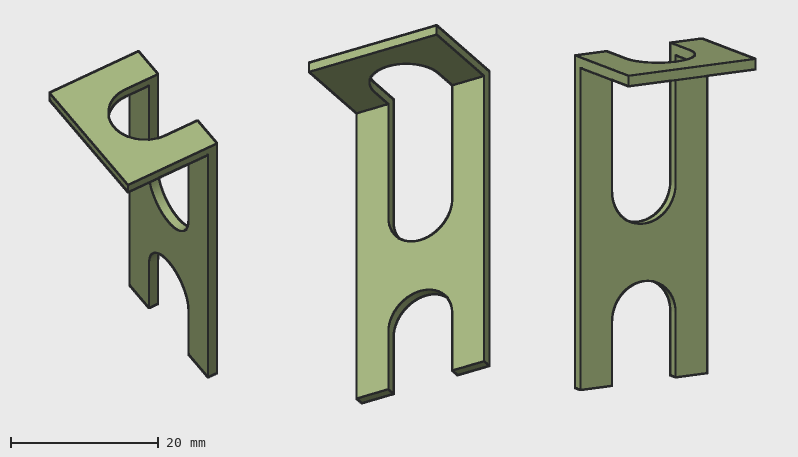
import cadquery as cq

width = 20.0
depth = 14.3
height = 46.3
thickness = 1.5

slot_width = width / 2
slot_radius = slot_width / 2
lower_slot_top = 14.0
upper_slot_bottom = 22.0
flange_slot_depth = 10.25


def round_ended_slot(plane, open_end, round_end):
    """Outline from a straight open end to the tip of a semicircular end."""
    direction = 1 if round_end > open_end else -1
    arc_start = round_end - direction * slot_radius
    return (
        cq.Workplane(plane)
        .moveTo(-slot_radius, open_end)
        .lineTo(-slot_radius, arc_start)
        .threePointArc((0, round_end), (slot_radius, arc_start))
        .lineTo(slot_radius, open_end)
        .close()
    )


back = depth / 2
wall = cq.Workplane("XY").box(width, thickness, height, centered=(True, False, False))
wall = wall.translate((0, back - thickness, 0))
flange = cq.Workplane("XY").box(width, depth, thickness, centered=(True, True, False))
flange = flange.translate((0, 0, height - thickness))
bracket = wall.union(flange)

lower_slot = round_ended_slot("XZ", 0, lower_slot_top).extrude(depth, both=True)
upper_slot = round_ended_slot("XZ", height - thickness, upper_slot_bottom).extrude(depth, both=True)

flange_slot = round_ended_slot("XY", back, back - flange_slot_depth).extrude(thickness)
flange_slot = flange_slot.translate((0, 0, height - thickness))

result = bracket.cut(lower_slot).cut(upper_slot).cut(flange_slot)